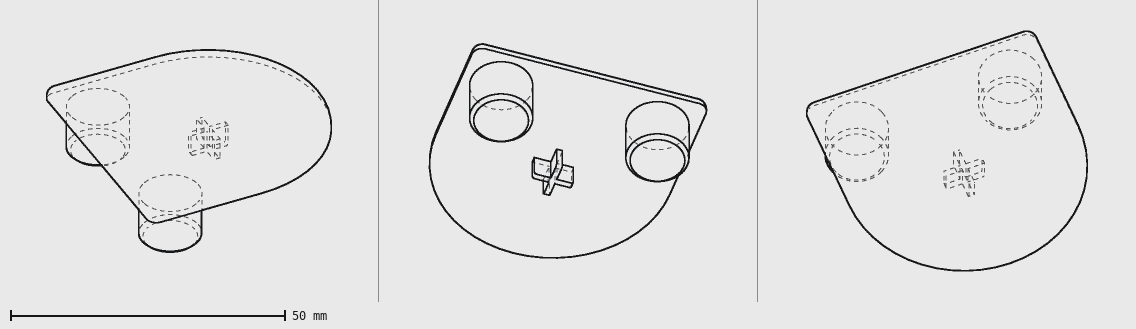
import cadquery as cq

plate_width = 45.0
half_width = plate_width / 2
plate_thickness = 2.5
edge_radius = 2.0

total_height = 12.25
post_diameter = 11.5
post_offset = 15.05
post_chamfer = 0.75
post_length = total_height - plate_thickness

cross_span = 7.5
cross_thickness = 1.12
cross_height = 4.5
cross_corner_radius = 0.5


def make_plate():
    """D-shaped plate resting on Z = 0, with rounded top edge and front corners."""
    outline = (
        cq.Workplane("XY")
        .moveTo(-half_width, 0)
        .lineTo(-half_width, -half_width)
        .lineTo(half_width, -half_width)
        .lineTo(half_width, 0)
        .threePointArc((0, half_width), (-half_width, 0))
        .close()
    )
    plate = outline.extrude(plate_thickness)
    return plate.edges("(|Z and <Y) or (>Z)").fillet(edge_radius)


def make_post(x):
    """Post hanging from the plate, chamfered around its free end."""
    post = cq.Workplane("XY").center(x, -post_offset).circle(post_diameter / 2).extrude(-post_length)
    return post.faces("<Z").chamfer(post_chamfer)


def make_cross_arm(turn):
    """One full-span blade of the cross, with its two lower corners rounded."""
    arm = cq.Workplane("XY").rect(cross_span, cross_thickness).extrude(-cross_height)
    arm = arm.faces("<Z").edges("|Y").fillet(cross_corner_radius)
    return arm.rotate((0, 0, 0), (0, 0, 1), turn)


result = make_plate()
for post_x in (-post_offset, post_offset):
    result = result.union(make_post(post_x))
for arm_turn in (0, 90):
    result = result.union(make_cross_arm(arm_turn))